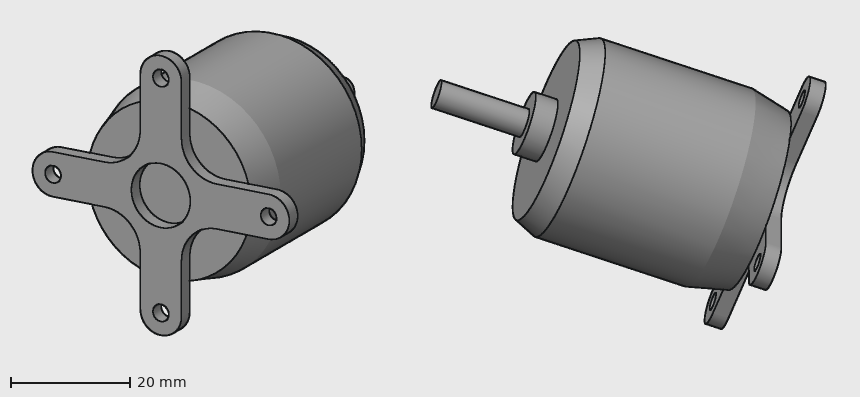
import cadquery as cq


plate_span = 49.83
plate_thickness = 2.8
arm_width = 8.0
arm_inner_fillet = 6.9
plate_bore_diameter = 11.43
mount_hole_diameter = 3.05
arm_count = 4

body_diameter = 35.13
body_end_diameter = 31.75
rear_taper_length = 7.0
barrel_length = 27.0
front_taper_length = 3.9

collar_diameter = 11.05
collar_length = 3.95
shaft_diameter = 4.98
overall_length = 60.4

hole_circle_radius = (plate_span - arm_width) / 2
barrel_start = plate_thickness + rear_taper_length
barrel_end = barrel_start + barrel_length
body_end = barrel_end + front_taper_length
collar_end = body_end + collar_length


def plane_at(y):
    """Plane normal to the motor axis at the given y, normal along +Y."""
    return cq.Plane(origin=(0, y, 0), xDir=(1, 0, 0), normal=(0, 1, 0))


def make_plate():
    """Cross of two round-ended bars with filleted inner corners and drilled holes."""
    bar = cq.Workplane(plane_at(0)).slot2D(plate_span, arm_width).extrude(plate_thickness)
    crossing_bar = bar.rotate((0, 0, 0), (0, 1, 0), 90)
    cross = bar.union(crossing_bar)

    corner_box = cq.selectors.BoxSelector(
        (-arm_width, -plate_thickness, -arm_width),
        (arm_width, 2 * plate_thickness, arm_width),
    )
    cross = cross.edges("|Y").edges(corner_box).fillet(arm_inner_fillet)

    bore = cq.Workplane(plane_at(0)).circle(plate_bore_diameter / 2).extrude(plate_thickness)
    mount_holes = (
        cq.Workplane(plane_at(0))
        .polarArray(hole_circle_radius, 0, 360, arm_count)
        .circle(mount_hole_diameter / 2)
        .extrude(plate_thickness)
    )
    return cross.cut(bore).cut(mount_holes)


def make_motor():
    """Body, collar and shaft revolved from one half profile of (radius, y) points."""
    end_radius = body_end_diameter / 2
    body_radius = body_diameter / 2
    collar_radius = collar_diameter / 2
    shaft_radius = shaft_diameter / 2
    half_profile = [
        (0, plate_thickness),
        (end_radius, plate_thickness),
        (body_radius, barrel_start),
        (body_radius, barrel_end),
        (end_radius, body_end),
        (collar_radius, body_end),
        (collar_radius, collar_end),
        (shaft_radius, collar_end),
        (shaft_radius, overall_length),
        (0, overall_length),
    ]
    return cq.Workplane("XY").polyline(half_profile).close().revolve(360, (0, 0, 0), (0, 1, 0))


result = make_motor().union(make_plate())